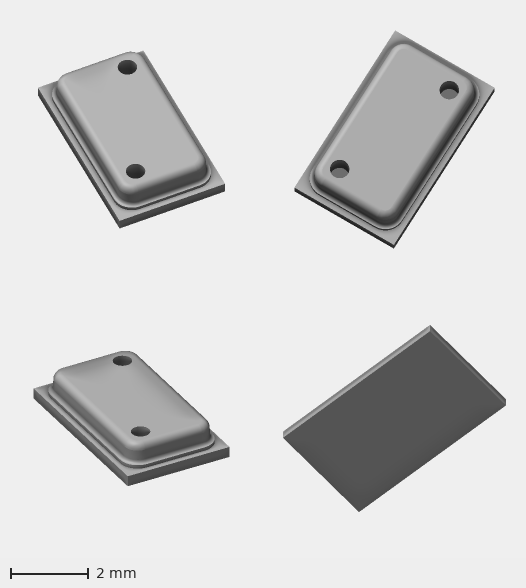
import cadquery as cq

LENGTH = 5.0
WIDTH = 3.0
TOTAL_HEIGHT = 0.95
BASE_HEIGHT = 0.3

LID_MARGIN = 0.15
FLANGE_HEIGHT = 0.1
FLANGE_CORNER_RADIUS = 0.5
CAP_INSET = 0.105
CAP_CORNER_RADIUS = 0.41
CAP_DRAFT_ANGLE = 3.0
ROOT_FILLET = 0.1
TOP_FILLET = 0.2

HOLE_DIAMETER = 0.5
HOLE_X = 1.65
HOLE_Y = 0.65

FLANGE_LENGTH = LENGTH - 2 * LID_MARGIN
FLANGE_WIDTH = WIDTH - 2 * LID_MARGIN
FLANGE_TOP = BASE_HEIGHT + FLANGE_HEIGHT
LID_HEIGHT = TOTAL_HEIGHT - BASE_HEIGHT
CAP_HEIGHT = LID_HEIGHT - FLANGE_HEIGHT


def rounded_rectangle(length, width, radius):
    return cq.Sketch().rect(length, width).vertices().fillet(radius)


def make_base():
    return cq.Workplane("XY").box(LENGTH, WIDTH, BASE_HEIGHT, centered=(True, True, False))


def make_flange():
    outline = rounded_rectangle(FLANGE_LENGTH, FLANGE_WIDTH, FLANGE_CORNER_RADIUS)
    return cq.Workplane("XY").workplane(offset=BASE_HEIGHT).placeSketch(outline).extrude(FLANGE_HEIGHT)


def make_cap():
    """Drafted cap with conical corners."""
    foot = rounded_rectangle(FLANGE_LENGTH - 2 * CAP_INSET, FLANGE_WIDTH - 2 * CAP_INSET, CAP_CORNER_RADIUS)
    cap = (
        cq.Workplane("XY")
        .workplane(offset=FLANGE_TOP)
        .placeSketch(foot)
        .extrude(CAP_HEIGHT, taper=CAP_DRAFT_ANGLE)
    )
    return cap.faces(">Z").edges().fillet(TOP_FILLET)


def make_lid():
    lid = make_flange().union(make_cap())

    flange_ledge = lid.faces("+Z").faces("<Z")
    foot_edges = flange_ledge.val().innerWires()[0].Edges()
    lid = lid.newObject(foot_edges).fillet(ROOT_FILLET)

    holes = (
        cq.Workplane("XY")
        .workplane(offset=BASE_HEIGHT)
        .pushPoints([(-HOLE_X, HOLE_Y), (HOLE_X, -HOLE_Y)])
        .circle(HOLE_DIAMETER / 2)
        .extrude(LID_HEIGHT)
    )
    return lid.cut(holes)


base = make_base()
lid = make_lid()

result = cq.Compound.makeCompound([base.val(), *lid.vals()])